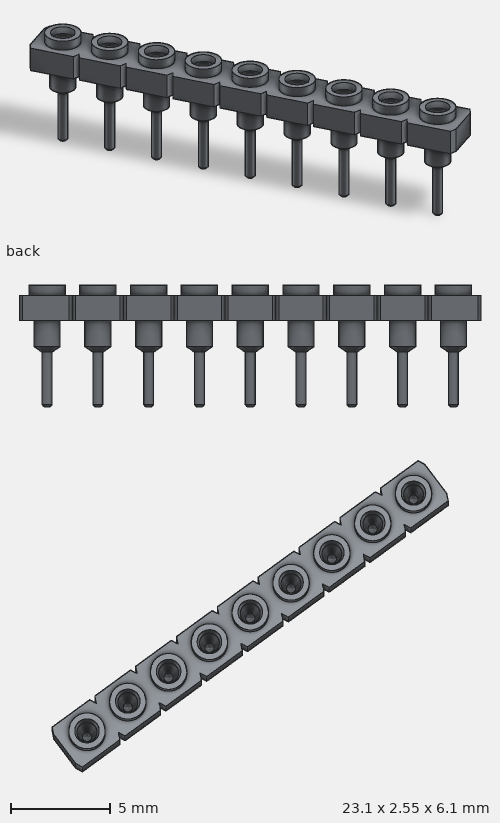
import cadquery as cq
import math

contact_count = 9
pitch = 2.55
housing_length = 23.1
housing_width = 2.55
housing_height = 1.27

notch_half_width = 0.16
notch_depth = 0.35

flange_diameter = 1.82
flange_height = 0.5
barrel_diameter = 1.32
barrel_drop = 1.3
taper_height = 0.28
tail_diameter = 0.5
contact_length = 6.1
tip_chamfer = 0.12

lead_in_diameter = 1.22
lead_in_depth = 0.32
neck_diameter = 1.0
neck_depth = 0.18
bore_end_diameter = 0.46
bore_depth = 1.15
drill_point_angle = 118.0

contact_xs = [(i - (contact_count - 1) / 2) * pitch for i in range(contact_count)]


def make_housing():
    """Notched strip with one through hole for each contact barrel."""
    half_length = housing_length / 2
    half_width = housing_width / 2
    strip = cq.Workplane("XY").rect(housing_length, housing_width).extrude(housing_height)
    notch_xs = [x + pitch / 2 for x in contact_xs[:-1]]
    for x in [-half_length, *notch_xs, half_length]:
        for side in (-1, 1):
            notch = (
                cq.Workplane("XY")
                .moveTo(x - notch_half_width, side * half_width)
                .lineTo(x, side * (half_width - notch_depth))
                .lineTo(x + notch_half_width, side * half_width)
                .close()
                .extrude(housing_height)
            )
            strip = strip.cut(notch)
    barrel_holes = (
        cq.Workplane("XY")
        .pushPoints([(x, 0) for x in contact_xs])
        .circle(barrel_diameter / 2)
        .extrude(housing_height)
    )
    return strip.cut(barrel_holes)


def make_contact(x):
    """Turned contact: a half profile (radius, z) revolved about its vertical axis."""
    flange_radius = flange_diameter / 2
    barrel_radius = barrel_diameter / 2
    tail_radius = tail_diameter / 2
    neck_radius = neck_diameter / 2
    bore_end_radius = bore_end_diameter / 2

    top = housing_height + flange_height
    tip = top - contact_length
    taper_bottom = -barrel_drop - taper_height
    neck_top = top - lead_in_depth
    neck_bottom = neck_top - neck_depth
    bore_bottom = neck_bottom - bore_depth
    drill_point = bore_bottom - bore_end_radius / math.tan(math.radians(drill_point_angle / 2))

    profile = [
        (0, tip),
        (tail_radius - tip_chamfer, tip),
        (tail_radius, tip + tip_chamfer),
        (tail_radius, taper_bottom),
        (barrel_radius, -barrel_drop),
        (barrel_radius, housing_height),
        (flange_radius, housing_height),
        (flange_radius, top),
        (lead_in_diameter / 2, top),
        (neck_radius, neck_top),
        (neck_radius, neck_bottom),
        (bore_end_radius, bore_bottom),
        (0, drill_point),
    ]
    contact = cq.Workplane("XZ").polyline(profile).close().revolve(360, (0, 0), (0, 1))
    return contact.translate((x, 0, 0))


housing = make_housing()
contacts = [make_contact(x) for x in contact_xs]

result = cq.Compound.makeCompound([housing.val(), *[contact.val() for contact in contacts]])